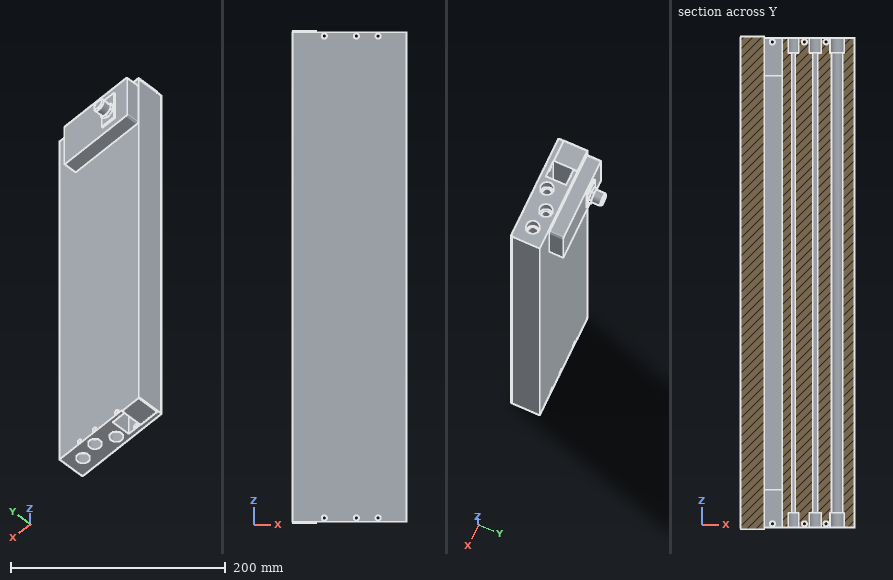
import cadquery as cq

body_width = 106.5
body_depth = 30.0
total_height = 459.0
strip_rise = 1.45
body_bottom = strip_rise
body_top = total_height - strip_rise
front_plate_thickness = 1.5
side_inset = 0.25

strip_width = 22.5
strip_front = 5.5

channel_width = 16.5
channel_front = 5.0
channel_back = 25.5
channel_ledge = 1.5
channel_ledge_inset = 36.5

bores = [(49.5, 11.0, 4.5), (69.8, 19.5, 4.35), (90.0, 15.0, 5.0)]
port_radius = 6.5
port_depth = 13.8

cross_hole_places = [30.0, 59.5, 80.0]
cross_hole_radius = 2.5
cross_hole_inset = 3.5

box_left = 0.5
box_right = 85.5
box_depth = 14.0
box_bottom = 394.7
box_top = 449.0
box_fillet = 1.6
box_back = body_depth + box_depth

connector_x = 25.2
connector_z = 419.0
plate_width = 16.5
plate_bottom = 404.5
plate_top = 439.3
plate_thickness = 1.5
plate_back = box_back + plate_thickness
nut_corner_diameter = 15.5
nut_length = 2.8
nut_turn = 90
plug_radius = 6.5
plug_chamfer = 1.5
total_depth = 58.5


def block(x0, x1, y0, y1, z0, z1):
    """Box between two opposite corners."""
    return cq.Workplane("XY").box(x1 - x0, y1 - y0, z1 - z0, centered=False).translate((x0, y0, z0))


def rod(x, z, radius, y0, y1):
    """Cylinder along Y from y0 to y1."""
    return cq.Workplane("XZ", origin=(x, y0, z)).circle(radius).extrude(y0 - y1)


def post(x, y, radius, z0, z1):
    """Cylinder along Z from z0 to z1."""
    return cq.Workplane("XY", origin=(x, y, z0)).circle(radius).extrude(z1 - z0)


def make_body():
    core = block(0, body_width, front_plate_thickness, body_depth, body_bottom, body_top)
    front_plate = block(
        side_inset, body_width - side_inset,
        0, front_plate_thickness,
        body_bottom, body_top,
    )
    strip = block(side_inset, strip_width, strip_front, body_depth, 0, total_height)
    return core.union(front_plate).union(strip)


def cut_channel(body):
    channel_right = strip_width + channel_width
    narrow_back = channel_back - channel_ledge
    body = body.cut(block(strip_width, channel_right, channel_front, narrow_back, 0, total_height))
    for z0, z1 in ((0, channel_ledge_inset), (total_height - channel_ledge_inset, total_height)):
        body = body.cut(block(strip_width, channel_right, channel_front, channel_back, z0, z1))
    return body


def cut_bores(body):
    for x, y, radius in bores:
        body = body.cut(post(x, y, radius, 0, total_height))
        body = body.cut(post(x, y, port_radius, body_bottom, body_bottom + port_depth))
        body = body.cut(post(x, y, port_radius, body_top - port_depth, body_top))
    return body


def cut_cross_holes(body):
    for x in cross_hole_places:
        for z in (body_bottom + cross_hole_inset, body_top - cross_hole_inset):
            body = body.cut(rod(x, z, cross_hole_radius, 0, body_depth))
    return body


def make_box():
    box = block(box_left, box_right, body_depth, box_back, box_bottom, box_top)
    return box.edges("|Y").fillet(box_fillet)


def make_connector():
    half_width = plate_width / 2
    plate = block(
        connector_x - half_width, connector_x + half_width,
        box_back, plate_back,
        plate_bottom, plate_top,
    )
    nut = (
        cq.Workplane("XZ", origin=(connector_x, plate_back, connector_z))
        .transformed(rotate=(0, 0, nut_turn))
        .polygon(6, nut_corner_diameter)
        .extrude(-nut_length)
    )
    plug = rod(connector_x, connector_z, plug_radius, plate_back, total_depth)
    plug = plug.faces(">Y").chamfer(plug_chamfer)
    return plate.union(nut).union(plug)


body = cut_cross_holes(cut_bores(cut_channel(make_body())))
result = body.union(make_box()).union(make_connector())